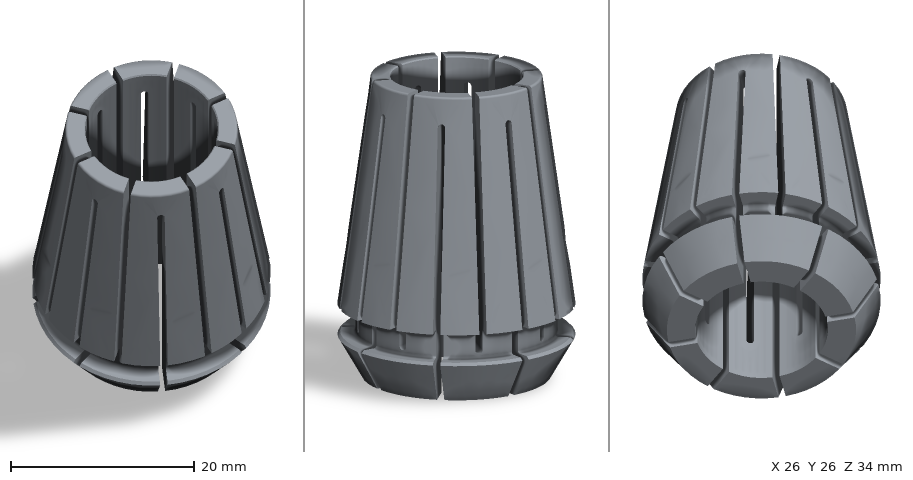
import cadquery as cq
import math

HEIGHT = 34.0
MAX_RADIUS = 13.0
BORE_RADIUS = 7.25
CONE_HALF_ANGLE = 8.0
TOP_FILLET = 0.27
BORE_CHAMFER = 0.15

CONE_BOTTOM_Z = 8.13
GROOVE_RADIUS = 11.0
GROOVE_FILLET = 0.27
FLANGE_TOP_Z = 4.93
FLANGE_CHAMFER = 0.3
NOSE_HALF_ANGLE = 30.0

SLIT_WIDTH = 0.8
SLIT_COUNT = 8
LOWER_SLIT_END_Z = 31.08
UPPER_SLIT_END_Z = 5.4

TOP_RADIUS = MAX_RADIUS - (HEIGHT - CONE_BOTTOM_Z) * math.tan(math.radians(CONE_HALF_ANGLE))
FLANGE_EDGE_Z = FLANGE_TOP_Z - FLANGE_CHAMFER
NOSE_RADIUS = MAX_RADIUS - FLANGE_EDGE_Z * math.tan(math.radians(NOSE_HALF_ANGLE))
SLIT_PITCH = 360.0 / SLIT_COUNT


def collet_body():
    """Revolved collet: long taper, groove, nose flange and bore."""
    profile = (
        cq.Workplane("XZ")
        .moveTo(BORE_RADIUS, 0)
        .lineTo(NOSE_RADIUS, 0)
        .lineTo(MAX_RADIUS, FLANGE_EDGE_Z)
        .lineTo(MAX_RADIUS - FLANGE_CHAMFER, FLANGE_TOP_Z)
        .lineTo(GROOVE_RADIUS + GROOVE_FILLET, FLANGE_TOP_Z)
        .radiusArc((GROOVE_RADIUS, FLANGE_TOP_Z + GROOVE_FILLET), GROOVE_FILLET)
        .lineTo(GROOVE_RADIUS, CONE_BOTTOM_Z - GROOVE_FILLET)
        .radiusArc((GROOVE_RADIUS + GROOVE_FILLET, CONE_BOTTOM_Z), GROOVE_FILLET)
        .lineTo(MAX_RADIUS, CONE_BOTTOM_Z)
        .lineTo(TOP_RADIUS, HEIGHT)
        .lineTo(BORE_RADIUS, HEIGHT)
        .close()
    )
    body = profile.revolve(360, (0, 0, 0), (0, 1, 0))
    inner_edge = cq.selectors.RadiusNthSelector(0)
    outer_edge = cq.selectors.RadiusNthSelector(1)
    body = body.faces(">Z").edges(outer_edge).fillet(TOP_FILLET)
    return body.faces(">Z").edges(inner_edge).chamfer(BORE_CHAMFER)


def slit(open_z, round_end_z, angle):
    """Radial cutter, open at open_z and rounded off at round_end_z, at the given angle about Z."""
    half_width = SLIT_WIDTH / 2
    direction = math.copysign(1, round_end_z - open_z)
    arc_start_z = round_end_z - direction * half_width
    return (
        cq.Workplane("YZ")
        .moveTo(-half_width, open_z)
        .lineTo(-half_width, arc_start_z)
        .threePointArc((0, round_end_z), (half_width, arc_start_z))
        .lineTo(half_width, open_z)
        .close()
        .extrude(MAX_RADIUS + SLIT_WIDTH)
        .rotate((0, 0, 0), (0, 0, 1), angle)
    )


result = collet_body()
for index in range(SLIT_COUNT):
    lower_angle = index * SLIT_PITCH
    upper_angle = lower_angle + SLIT_PITCH / 2
    result = result.cut(slit(0, LOWER_SLIT_END_Z, lower_angle))
    result = result.cut(slit(HEIGHT, UPPER_SLIT_END_Z, upper_angle))